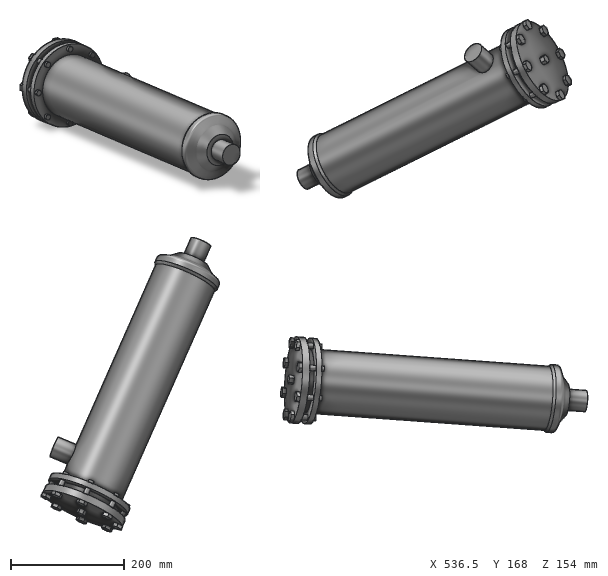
import cadquery as cq
import math


shell_radius = 114 / 2
flange_radius = 152 / 2
flange_start = 34.0
flange_thickness = 10.0

cover_radius = 153 / 2
cover_start = 9.0
cover_thickness = 13.0

bolt_count = 8
bolt_diameter = 10.0
bolt_circle_radius = 68.5
bolt_head_flats = 17.0
bolt_head_height = 6.4
bolt_end = 49.0

plug_flats = 14.0
plug_height = cover_start

cap_radius = 120.39 / 2
cap_start = 465.5
cap_rim_start = 470.5
cap_rim_end = 479.0
cap_shoulder_radius = 5.3
cap_shoulder_angle = math.radians(67)
cap_kink_x = 490.0
cap_end = 502.0
cap_end_radius = 28.5

stub_radius = 38.2 / 2
outlet_end = 536.5
inlet_x = 93.7
inlet_reach = 91.0


def cylinder(start, end, radius):
    """Cylinder on the X axis between two axial positions."""
    return cq.Workplane("YZ", origin=(start, 0, 0)).circle(radius).extrude(end - start)


def hexagon(start, height, across_flats):
    """Hexagonal prism on the X axis with flats facing up and down."""
    corner_diameter = across_flats / math.cos(math.pi / 6)
    return cq.Workplane("YZ", origin=(start, 0, 0)).polygon(6, corner_diameter).extrude(height)


def make_bolt(index):
    """One bolt of the ring, with a head flat facing radially outward."""
    head = hexagon(cover_start - bolt_head_height, bolt_head_height, bolt_head_flats)
    shank = cylinder(cover_start, bolt_end, bolt_diameter / 2)
    bolt = head.union(shank).translate((0, 0, bolt_circle_radius))
    return bolt.rotate((0, 0, 0), (1, 0, 0), index * 360 / bolt_count)


def make_cap():
    """Revolved cap: flared collar, rim, rounded shoulder and two cones."""

    def shoulder_point(angle):
        x = cap_rim_end + cap_shoulder_radius * math.sin(angle)
        radius = cap_radius - cap_shoulder_radius * (1 - math.cos(angle))
        return x, radius

    shoulder_end_x, shoulder_end_radius = shoulder_point(cap_shoulder_angle)
    kink_radius = shoulder_end_radius - (cap_kink_x - shoulder_end_x) * math.tan(cap_shoulder_angle)
    return (
        cq.Workplane("XY")
        .moveTo(cap_start, 0)
        .lineTo(cap_start, shell_radius)
        .lineTo(cap_rim_start, cap_radius)
        .lineTo(cap_rim_end, cap_radius)
        .threePointArc(shoulder_point(cap_shoulder_angle / 2), shoulder_point(cap_shoulder_angle))
        .lineTo(cap_kink_x, kink_radius)
        .lineTo(cap_end, cap_end_radius)
        .lineTo(cap_end, 0)
        .close()
        .revolve(360, (0, 0, 0), (1, 0, 0))
    )


def make_inlet():
    """Side stub running from the shell axis out along +Y."""
    return cq.Workplane("XZ", origin=(inlet_x, 0, 0)).circle(stub_radius).extrude(-inlet_reach)


cover_end = cover_start + cover_thickness

result = cylinder(cover_end, cap_start, shell_radius)
result = result.union(cylinder(cover_start, cover_end, cover_radius))
result = result.union(cylinder(flange_start, flange_start + flange_thickness, flange_radius))
result = result.union(make_cap())
result = result.union(cylinder(cap_end, outlet_end, stub_radius))
result = result.union(make_inlet())
result = result.union(hexagon(0, plug_height, plug_flats))
for bolt_index in range(bolt_count):
    result = result.union(make_bolt(bolt_index))